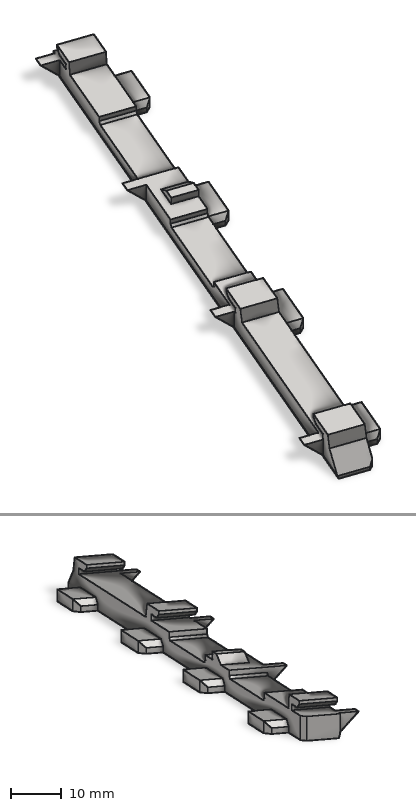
import cadquery as cq

LENGTH = 137.7
TOTAL_WIDTH = 17.0
TOTAL_HEIGHT = 7.8
BAR_HEIGHT = 5.0
LOW_HEIGHT = 3.3
TAB_REACH = 4.8
TOOTH_REACH = 4.1
BAR_WIDTH = TOTAL_WIDTH - TAB_REACH - TOOTH_REACH
REAR_CHAMFER = 1.0
EDGE_CHAMFER_DEPTH = 0.3
EDGE_CHAMFER_HEIGHT = BAR_HEIGHT - TOOTH_REACH

END_LIP = EDGE_CHAMFER_HEIGHT
END_SLOPE_LENGTH = 3.9

RECESSES = [(22.2, 42.7), (56.7, 77.8)]
RECESS_CHAMFER = 0.5

HOOKS = [(1.7, 6.0, 7.6, 8.0), (83.7, 88.1, 90.6, 91.5), (126.0, 130.5, 133.0, 133.8)]
HOOK_THICKNESS = 1.7
HOOK_TIP_THICKNESS = 0.7
HOOK_TIP_LENGTH = 1.2

TEETH = [0.7, 42.7, 85.4, 128.5]
TOOTH_WIDTH = 2.3

TABS = [(7.8, 19.3), (45.2, 57.4), (81.2, 93.6), (119.4, 131.0)]
TAB_HEIGHT = 2.5
TAB_CHAMFER = 1.2

CATCH_LEFT = 47.5
CATCH_RAMP_END = 50.1
CATCH_RIGHT = 52.5
CATCH_HEIGHT = 1.7
CATCH_WIDTH = 5.9


def side_prism(points, width):
    """Extrude an XZ outline forward from the rear face of the bar."""
    return cq.Workplane("XZ", origin=(0, BAR_WIDTH, 0)).polyline(points).close().extrude(width)


def bar():
    outline = [
        (0, 0),
        (LENGTH, 0),
        (LENGTH, END_LIP),
        (LENGTH - END_SLOPE_LENGTH, BAR_HEIGHT),
        (0, BAR_HEIGHT),
    ]
    body = side_prism(outline, BAR_WIDTH)
    for start, end in RECESSES:
        recess = [
            (start, BAR_HEIGHT),
            (start, LOW_HEIGHT + RECESS_CHAMFER),
            (start + RECESS_CHAMFER, LOW_HEIGHT),
            (end - RECESS_CHAMFER, LOW_HEIGHT),
            (end, LOW_HEIGHT + RECESS_CHAMFER),
            (end, BAR_HEIGHT),
        ]
        body = body.cut(side_prism(recess, BAR_WIDTH))
    for end, inward in ((0, 1), (LENGTH, -1)):
        corner = (
            cq.Workplane("XY")
            .polyline([
                (end, BAR_WIDTH),
                (end + inward * REAR_CHAMFER, BAR_WIDTH),
                (end, BAR_WIDTH - REAR_CHAMFER),
            ])
            .close()
            .extrude(BAR_HEIGHT)
        )
        body = body.cut(corner)
    front_bevel = (
        cq.Workplane("YZ")
        .polyline([(0, 0), (EDGE_CHAMFER_DEPTH, 0), (0, EDGE_CHAMFER_HEIGHT)])
        .close()
        .extrude(LENGTH)
    )
    return body.cut(front_bevel)


def hook(tip, stem_left, top_right, foot_right):
    underside = TOTAL_HEIGHT - HOOK_THICKNESS
    return side_prism([
        (tip, TOTAL_HEIGHT),
        (tip, TOTAL_HEIGHT - HOOK_TIP_THICKNESS),
        (tip + HOOK_TIP_LENGTH, underside),
        (stem_left, underside),
        (stem_left, BAR_HEIGHT),
        (foot_right, BAR_HEIGHT),
        (top_right, TOTAL_HEIGHT),
    ], BAR_WIDTH)


def tooth(left):
    return (
        cq.Workplane("YZ", origin=(left, 0, 0))
        .polyline([(0, EDGE_CHAMFER_HEIGHT), (-TOOTH_REACH, BAR_HEIGHT), (0, BAR_HEIGHT)])
        .close()
        .extrude(TOOTH_WIDTH)
    )


def tab(left, right):
    rear = BAR_WIDTH + TAB_REACH
    plan = [
        (left, BAR_WIDTH),
        (left, rear - TAB_CHAMFER),
        (left + TAB_CHAMFER, rear),
        (right - TAB_CHAMFER, rear),
        (right, rear - TAB_CHAMFER),
        (right, BAR_WIDTH),
    ]
    section = [
        (left, 0),
        (left, TAB_HEIGHT - TAB_CHAMFER),
        (left + TAB_CHAMFER, TAB_HEIGHT),
        (right - TAB_CHAMFER, TAB_HEIGHT),
        (right, TAB_HEIGHT - TAB_CHAMFER),
        (right, 0),
    ]
    block = cq.Workplane("XY").polyline(plan).close().extrude(TAB_HEIGHT)
    return block.intersect(side_prism(section, -TAB_REACH))


def catch():
    top = BAR_HEIGHT + CATCH_HEIGHT
    return side_prism([
        (CATCH_LEFT, BAR_HEIGHT),
        (CATCH_RAMP_END, top),
        (CATCH_RIGHT, top),
        (CATCH_RIGHT, BAR_HEIGHT),
    ], CATCH_WIDTH)


result = bar().union(catch())
for hook_places in HOOKS:
    result = result.union(hook(*hook_places))
for tooth_left in TEETH:
    result = result.union(tooth(tooth_left))
for tab_left, tab_right in TABS:
    result = result.union(tab(tab_left, tab_right))